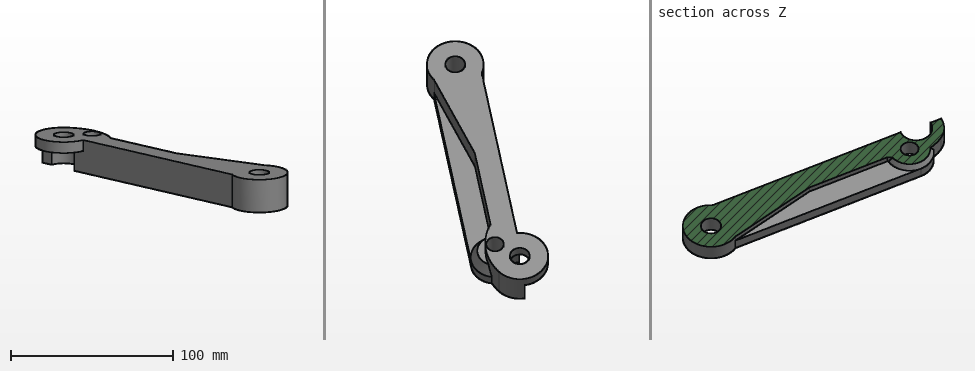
import cadquery as cq
import math

height = 21.0
layer = height / 3
floor_z = layer
plate_z = 2 * layer

bar_half_width = 15.0
eye_radius = 17.5
eye_hole_diameter = 12.2
pivot_hole_diameter = 10.7
lever_x, lever_y = -11.5, -13.5
eye_spacing_x = 149.3
end_x = lever_x + eye_spacing_x

clearance_radius = 10.0
cone_top_radius = 10.9
shoulder_radius = 32.0
shoulder_center_x = -3.7
slope_start_x = 69.7

bar_end_x = end_x - math.sqrt(eye_radius**2 - bar_half_width**2)

center_distance = shoulder_radius - eye_radius
shoulder_dx = lever_x - shoulder_center_x
shoulder_dy = math.sqrt(center_distance**2 - shoulder_dx**2)
shoulder_center_y = lever_y - shoulder_dy
tangent_x = lever_x + eye_radius * shoulder_dx / center_distance
tangent_y = lever_y + eye_radius * shoulder_dy / center_distance
shoulder_top_y = shoulder_center_y + shoulder_radius
shoulder_end_x = shoulder_center_x + math.sqrt(shoulder_radius**2 - shoulder_center_y**2)


def cylinder(x, y, radius, bottom, top):
    return cq.Workplane("XY", origin=(x, y, bottom)).circle(radius).extrude(top - bottom)


def make_base():
    """Low bar with a rounded pivot end, topped by a cone around the pivot."""
    bar = (
        cq.Workplane("XY")
        .moveTo(0, bar_half_width)
        .lineTo(bar_end_x, bar_half_width)
        .lineTo(bar_end_x, -bar_half_width)
        .lineTo(0, -bar_half_width)
        .threePointArc((-bar_half_width, 0), (0, bar_half_width))
        .close()
        .extrude(floor_z)
    )
    cone = (
        cq.Workplane("XZ")
        .moveTo(0, floor_z)
        .lineTo(bar_half_width, floor_z)
        .lineTo(cone_top_radius, plate_z)
        .lineTo(0, plate_z)
        .close()
        .revolve(360, (0, 0, 0), (0, 1, 0))
    )
    return bar.union(cone)


def make_upper_body():
    """Full-height body between the lever eye, the recess wall and the end eye."""
    return (
        cq.Workplane("XY")
        .moveTo(lever_x - eye_radius, lever_y)
        .radiusArc((tangent_x, tangent_y), eye_radius)
        .threePointArc((shoulder_center_x, shoulder_top_y), (shoulder_end_x, 0))
        .lineTo(slope_start_x, 0)
        .lineTo(bar_end_x, bar_half_width)
        .lineTo(end_x, 0)
        .lineTo(bar_end_x, -bar_half_width)
        .lineTo(lever_x, -bar_half_width)
        .lineTo(lever_x, lever_y)
        .close()
        .extrude(height)
    )


body = make_base().union(make_upper_body())
body = body.union(cylinder(end_x, 0, eye_radius, 0, height))

body = body.cut(cylinder(lever_x, lever_y, clearance_radius, 0, plate_z))
body = body.union(cylinder(lever_x, lever_y, eye_radius, plate_z, height))

for x, y, diameter in (
    (0, 0, pivot_hole_diameter),
    (lever_x, lever_y, eye_hole_diameter),
    (end_x, 0, eye_hole_diameter),
):
    body = body.cut(cylinder(x, y, diameter / 2, 0, height))

result = body